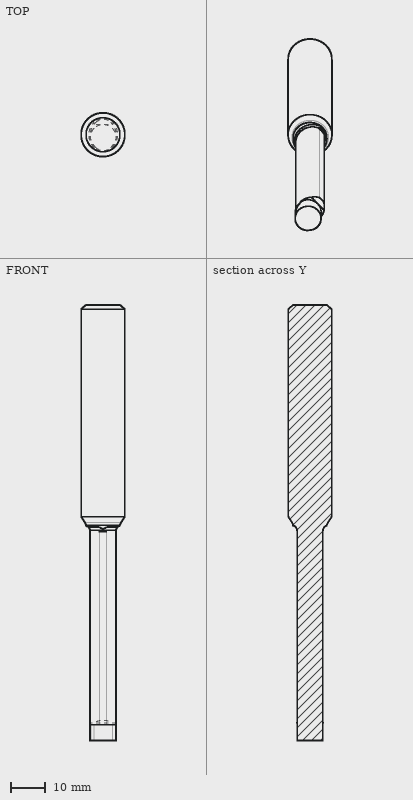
import cadquery as cq
import math

length = 126.1
shank_radius = 12.7 / 2
top_radius = 4.9
top_chamfer_height = 1.3

shank_bottom = 64.8
collar_top = 63.2
collar_top_radius = 5.3
collar_bottom = 62.3
collar_bottom_radius = 4.9
neck_flare_top = 61.3
neck_top = 60.4

neck_radius = 4.5
neck_half_width = 3.8
land_half_width = 1.0
flank_flare_bottom = 60.9
flare_knee_height = 61.8
flare_knee_growth = 0.4
flare_growth = 1.4
land_depth = math.sqrt(neck_radius**2 - land_half_width**2)
flank_rise = neck_half_width - land_half_width
flank_radius = (land_depth**2 + flank_rise**2) / (2 * flank_rise)
flank_offset = flank_radius - neck_half_width

tip_radius = 3.8
tip_center_y = tip_radius - neck_radius
tip_top = 7.6
tip_flat_front = 3.4
tip_flat_back = 2.1

shoulder_outer_height = 5.9
shoulder_height = 5.2
ledge_height = 4.5


def revolve_profile(points):
    """Turn (radius, height) points around the Z axis."""
    return cq.Workplane("XZ").polyline(points).close().revolve(360, (0, 0, 0), (0, 1, 0))


def make_shank():
    return revolve_profile([
        (0, collar_bottom),
        (collar_bottom_radius, collar_bottom),
        (collar_top_radius, collar_top),
        (shank_radius, shank_bottom),
        (shank_radius, length - top_chamfer_height),
        (top_radius, length),
        (0, length),
    ])


def make_flank(side):
    """Eccentric cylinder that flares in two slopes below the collar."""
    flank = revolve_profile([
        (0, 0),
        (flank_radius, 0),
        (flank_radius, flank_flare_bottom),
        (flank_radius + flare_knee_growth, flare_knee_height),
        (flank_radius + flare_growth, collar_bottom),
        (0, collar_bottom),
    ])
    return flank.translate((-side * flank_offset, 0, 0))


def make_neck():
    neck = revolve_profile([
        (0, 0),
        (neck_radius, 0),
        (neck_radius, neck_top),
        (collar_bottom_radius, neck_flare_top),
        (collar_bottom_radius, collar_bottom),
        (0, collar_bottom),
    ])
    for side in (-1, 1):
        neck = neck.intersect(make_flank(side))
    relief = (
        cq.Workplane("YZ")
        .polyline([
            (-neck_radius, 0),
            (-neck_radius, ledge_height),
            (-tip_flat_back, ledge_height),
            (0, shoulder_height),
            (tip_center_y + tip_radius, shoulder_height),
            (neck_radius, shoulder_outer_height),
            (neck_radius, 0),
        ])
        .close()
        .extrude(neck_radius, both=True)
    )
    return neck.cut(relief)


def tip_half_width(y):
    return math.sqrt(tip_radius**2 - (y - tip_center_y) ** 2)


def extrude_tip(height):
    """Eccentric round bar with a narrow flat on each front corner."""
    front_x = tip_half_width(-tip_flat_front)
    back_x = tip_half_width(-tip_flat_back)
    return (
        cq.Workplane("XY")
        .moveTo(-front_x, -tip_flat_front)
        .threePointArc((0, -neck_radius), (front_x, -tip_flat_front))
        .lineTo(back_x, -tip_flat_back)
        .threePointArc((0, tip_center_y + tip_radius), (-back_x, -tip_flat_back))
        .close()
        .extrude(height)
    )


def make_tip():
    """Tip ending at the ledge, with a core that reaches up inside the neck flanks."""
    core = extrude_tip(tip_top)
    for side in (-1, 1):
        core = core.intersect(make_flank(side))
    return extrude_tip(ledge_height).union(core)


result = make_shank().union(make_neck()).union(make_tip())